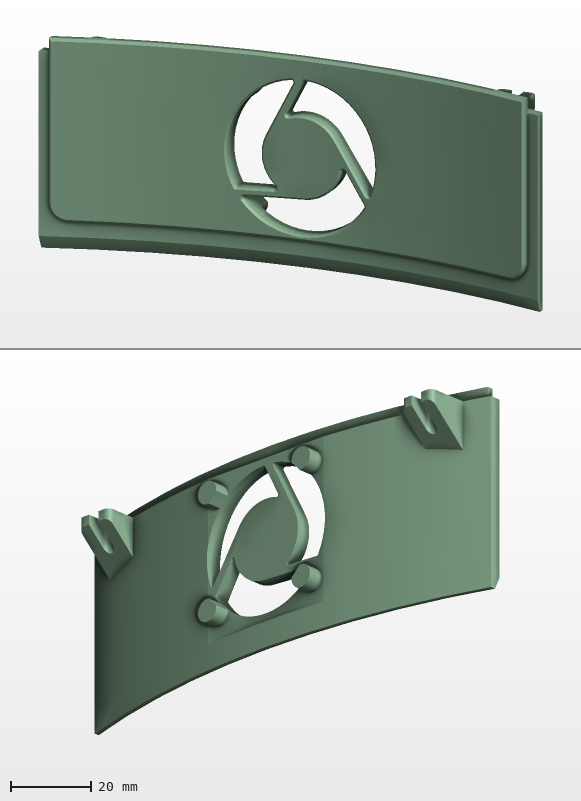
import cadquery as cq
import math

total_width = 135.5
total_height = 56.0
total_depth = 18.5

panel_radius = 212.7
panel_thickness = 2.3
body_thickness = 3.0
body_height = 51.9
flange_radius = panel_radius + panel_thickness
back_radius = flange_radius + body_thickness
toe_chamfer_height = 3.5
toe_chamfer_depth = 1.6

back_flat_y = 14.2
lip_height = 7.0

panel_half_width = 64.6
panel_bottom = 8.0
panel_corner_radius = 4.9
panel_chamfer = 0.7

face_half_width = panel_half_width - panel_chamfer
axis_y = -math.sqrt(panel_radius**2 - face_half_width**2)

window_z = 29.8
window_radius = 20.2
hub_radius = 11.0
spoke_width = 2.2
first_spoke_angle = 62.8
spoke_count = 3
window_corner_radius = 0.5
window_chamfer = 0.5
window_edge_margin = 0.7

peg_diameter = 6.2
peg_offset = 16.0

tab_x = 55.1
tab_width = 10.3
tab_back_y = 18.2
tab_corner_radius = 1.6
tab_slot_width = 3.3
tab_slot_floor_y = 11.4
tab_root_y = 6.2
tab_root_z = 38.3
tab_tip_z = 49.2


def revolve_ring(profile):
    """Revolve a (radius, Z) outline about the vertical axis of the curved layers."""
    ring = cq.Workplane("XZ").polyline(profile).close()
    return ring.revolve(360, (0, 0), (0, 1)).translate((0, axis_y, 0))


def make_body():
    ring = revolve_ring([
        (flange_radius + toe_chamfer_depth, 0),
        (back_radius, 0),
        (back_radius, body_height),
        (flange_radius, body_height),
        (flange_radius, toe_chamfer_height),
    ])
    clip = cq.Workplane("XY").box(total_width, total_depth, total_height, (True, False, False))
    recess = (
        cq.Workplane("XY", origin=(0, back_flat_y, lip_height))
        .box(total_width, total_depth, total_height, (True, False, False))
    )
    return ring.intersect(clip).cut(recess)


def make_panel():
    ring = revolve_ring([
        (panel_radius, 0),
        (flange_radius, 0),
        (flange_radius, total_height),
        (panel_radius, total_height),
    ])
    outline = (
        cq.Workplane("XZ", origin=(0, total_depth, 0))
        .center(0, (panel_bottom + total_height) / 2)
        .rect(2 * panel_half_width, total_height - panel_bottom)
        .extrude(2 * total_depth)
        .edges("<Z and |Y")
        .fillet(panel_corner_radius)
    )
    panel = ring.intersect(outline)
    front_face = panel.faces(cq.selectors.NearestToPointSelector((0, 0, window_z)))
    return front_face.edges().chamfer(panel_chamfer)


def window_plane():
    return cq.Workplane("XZ", origin=(0, total_depth, window_z))


def make_window():
    """Cutter for the three openings left between the ring, the hub and the spokes."""
    depth = 2 * total_depth
    cutter = window_plane().circle(window_radius).extrude(depth)
    cutter = cutter.cut(window_plane().circle(hub_radius).extrude(depth))
    for index in range(spoke_count):
        angle = first_spoke_angle + index * 360 / spoke_count
        spoke = (
            window_plane()
            .center(window_radius, hub_radius - spoke_width / 2)
            .rect(2 * window_radius, spoke_width)
            .extrude(depth)
            .rotate((0, 0, window_z), (0, 1, window_z), -angle)
        )
        cutter = cutter.cut(spoke)
    return cutter.edges("|Y").fillet(window_corner_radius)


def make_pegs():
    return (
        window_plane()
        .rect(2 * peg_offset, 2 * peg_offset, forConstruction=True)
        .vertices()
        .circle(peg_diameter / 2)
        .extrude(total_depth - back_flat_y + body_thickness / 2)
    )


def make_tab(x):
    """Forked tab with a sloping underside that runs down to the body."""
    plan = (
        cq.Workplane("XY", origin=(x, 0, 0))
        .rect(tab_width, 2 * tab_back_y)
        .extrude(body_height)
        .edges("|Z and >Y")
        .fillet(tab_corner_radius)
    )
    side = (
        cq.Workplane("YZ", origin=(x - tab_width / 2, 0, 0))
        .polyline([
            (tab_root_y, body_height),
            (tab_root_y, tab_root_z),
            (tab_back_y, tab_tip_z),
            (tab_back_y, body_height),
        ])
        .close()
        .extrude(tab_width)
    )
    slot_end_y = tab_slot_floor_y + tab_slot_width / 2
    slot_length = total_depth - tab_slot_floor_y
    slot = (
        cq.Workplane("XY", origin=(x, slot_end_y, 0))
        .circle(tab_slot_width / 2)
        .extrude(body_height)
        .union(
            cq.Workplane("XY", origin=(x, slot_end_y, 0))
            .box(tab_slot_width, slot_length, body_height, (True, False, False))
        )
    )
    front_space = revolve_ring([
        (0, 0),
        (flange_radius, 0),
        (flange_radius, body_height),
        (0, body_height),
    ])
    return plan.intersect(side).cut(slot).cut(front_space)


def chamfer_window(plate):
    """Break the window edges that lie on the curved front face of the panel."""
    crest_y = axis_y + panel_radius
    reach = window_radius + window_edge_margin
    edge_y = axis_y + math.sqrt(panel_radius**2 - reach**2)
    front_edges = plate.edges(cq.selectors.BoxSelector(
        (-reach, edge_y, window_z - reach),
        (reach, crest_y + window_edge_margin, window_z + reach),
    ))
    return front_edges.chamfer(window_chamfer)


plate = make_body().union(make_panel()).union(make_pegs())
result = chamfer_window(plate.cut(make_window()))
for tab_center in (-tab_x, tab_x):
    result = result.union(make_tab(tab_center))